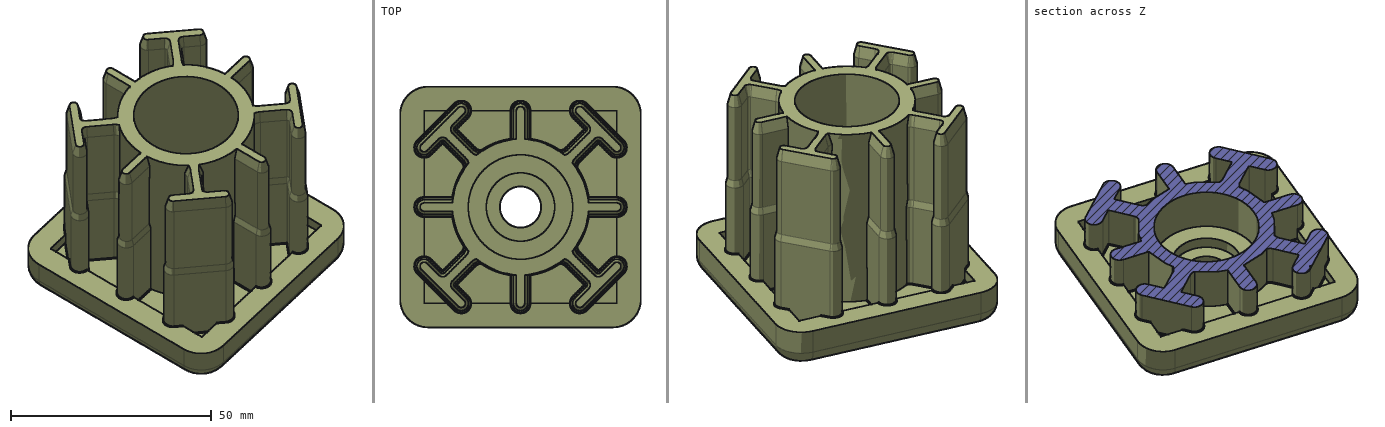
import cadquery as cq
import math

plate_size = 60.0
plate_height = 10.0
plate_corner_radius = 7.0
plate_bottom_fillet = 4.0
pocket_size = 48.0
pocket_depth = 3.0
pocket_floor = plate_height - pocket_depth

total_height = 55.0
post_top_radius = 17.0
post_foot_radius = 17.2
bore_radius = 13.0
counterbore_radius = 8.5
counterbore_floor = 4.0
hole_radius = 5.1

rib_half_thickness = 2.3
rib_step_start = 29.15
rib_step_end = 31.0
rib_step_inset = 0.5
rib_bevel_start = 52.0
rib_bevel_inset = 0.8
skirt_size = 0.25
inside_corner_radius = 0.1
stem_root_fillet = 2.0

oversize_thickness = 2 * (rib_half_thickness + inside_corner_radius)

rib_end_reach = 24.0
crossbar_end_offset = 14.75


def add_slot(section, start, end):
    """Add a round-ended bar of rib thickness between two end centres to a sketch."""
    run = (end[0] - start[0], end[1] - start[1])
    centre = ((start[0] + end[0]) / 2, (start[1] + end[1]) / 2)
    angle = math.degrees(math.atan2(run[1], run[0]))
    section = section.push([centre]).rect(math.hypot(*run), oversize_thickness, angle=angle).reset()
    return section.push([start, end]).circle(oversize_thickness / 2).reset().clean()


def straight_rib_section():
    """Rib crossing the whole plate through its centre, along X."""
    return add_slot(cq.Sketch(), (-rib_end_reach, 0), (rib_end_reach, 0))


def t_rib_section():
    """Diagonal stem with a crossbar, rooted in a disc that lies inside the post."""
    crossbar_ends = ((rib_end_reach, crossbar_end_offset), (crossbar_end_offset, rib_end_reach))
    crossbar_middle = (rib_end_reach + crossbar_end_offset) / 2
    section = cq.Sketch().circle(post_top_radius)
    section = add_slot(section, (0, 0), (crossbar_middle, crossbar_middle))
    section = add_slot(section, *crossbar_ends)
    near_root = cq.selectors.BoxSelector((0, 0, -0.6), (post_top_radius - 0.6, post_top_radius - 0.6, 0.6))
    return section.vertices(near_root).fillet(stem_root_fillet - inside_corner_radius).reset()


def section_wire(section, inset, height):
    """Outline of a rib section, moved inwards by inset and placed at a height."""
    oversize = section.reset().faces().vals()[0].outerWire()
    outline = oversize.offset2D(-inside_corner_radius - inset, "arc")[0]
    return outline.translate(cq.Vector(0, 0, height))


def prism(section, inset, bottom, top):
    """Upright band of a rib."""
    face = cq.Face.makeFromWires(section_wire(section, inset, bottom))
    return cq.Workplane(cq.Solid.extrudeLinear(face, cq.Vector(0, 0, top - bottom)))


def sloped(section, inset, bottom, top, extra_inset):
    """Band of a rib whose outline shrinks by extra_inset from bottom to top."""
    face = cq.Face.makeFromWires(section_wire(section, inset, bottom))
    taper = math.degrees(math.atan2(extra_inset, top - bottom))
    return cq.Workplane(cq.Solid.extrudeLinear(face, cq.Vector(0, 0, top - bottom), taper))


def rib(section):
    """Full-height rib with its step, top bevel and the small skirts around its foot."""
    body = prism(section, 0, pocket_floor, rib_step_start)
    body = body.union(sloped(section, 0, rib_step_start, rib_step_end, rib_step_inset))
    body = body.union(prism(section, rib_step_inset, rib_step_end, rib_bevel_start))
    body = body.union(
        sloped(section, rib_step_inset, rib_bevel_start, total_height, rib_bevel_inset))
    floor_skirt = sloped(section, -skirt_size, pocket_floor, pocket_floor + skirt_size, skirt_size)
    pocket_space = cq.Workplane().box(pocket_size, pocket_size, 2 * total_height)
    rim_skirt = sloped(section, -skirt_size, plate_height, plate_height + skirt_size, skirt_size)
    return body.union(floor_skirt).union(rim_skirt.cut(pocket_space))


def plate():
    """Rounded square plate with a square pocket in its top face."""
    body = cq.Workplane().rect(plate_size, plate_size).extrude(plate_height)
    body = body.edges("|Z").fillet(plate_corner_radius)
    body = body.faces("<Z").edges().fillet(plate_bottom_fillet)
    pocket = cq.Workplane().workplane(offset=pocket_floor).rect(pocket_size, pocket_size)
    return body.cut(pocket.extrude(pocket_depth))


def post():
    """Slightly tapered round post standing on the pocket floor."""
    post_height = total_height - pocket_floor
    return cq.Workplane(
        cq.Solid.makeCone(post_foot_radius, post_top_radius, post_height, cq.Vector(0, 0, pocket_floor)))


def bore(radius, floor):
    """Round space from a floor height up through the top of the post."""
    return cq.Workplane().workplane(offset=floor).circle(radius).extrude(total_height - floor)


result = plate().union(post())

straight_rib = rib(straight_rib_section())
for angle in (0, 90):
    result = result.union(straight_rib.rotate((0, 0, 0), (0, 0, 1), angle))

t_rib = rib(t_rib_section())
for angle in (0, 90, 180, 270):
    result = result.union(t_rib.rotate((0, 0, 0), (0, 0, 1), angle))

for radius, floor in (
    (bore_radius, pocket_floor),
    (counterbore_radius, counterbore_floor),
    (hole_radius, 0),
):
    result = result.cut(bore(radius, floor))